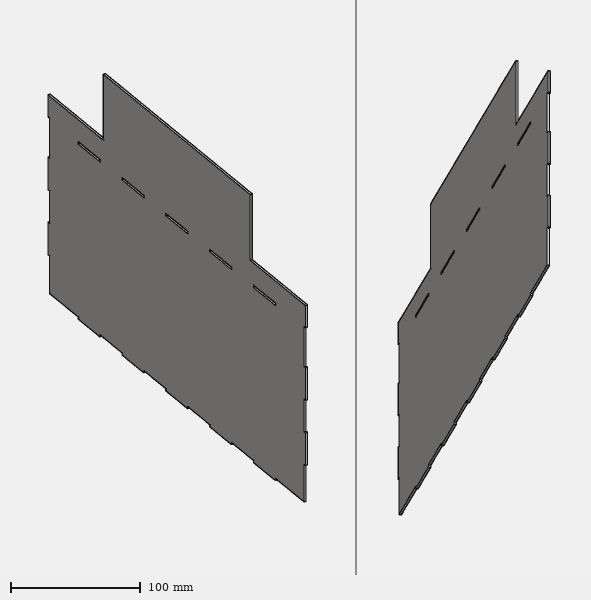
import cadquery as cq

overall_width = 354.0
overall_height = 245.5
thickness = 2.0
tab_depth = thickness
body_width = overall_width - 2 * tab_depth

crest_width = 201.8
shoulder_z = 184.8

tab_length = 30.0
tab_pitch = 2 * tab_length
tab_count = 5
slot_bottom_z = 162.0

lowest_tab_bottom = 36.8
side_tab_bottoms = (lowest_tab_bottom, lowest_tab_bottom + tab_pitch)
corner_tab_bottom = 164.3


def plate(x_center, z_bottom, width, height):
    """Upright plate of the panel thickness, resting at z_bottom."""
    return cq.Workplane("XY").box(width, thickness, height, centered=(True, True, False)).translate(
        (x_center, 0, z_bottom)
    )


result = plate(0, tab_depth, body_width, shoulder_z - tab_depth)
result = result.union(plate(0, tab_depth, crest_width, overall_height - tab_depth))

for tab_bottom in side_tab_bottoms:
    result = result.union(plate(0, tab_bottom, overall_width, tab_length))
result = result.union(plate(0, corner_tab_bottom, overall_width, shoulder_z - corner_tab_bottom))

for index in range(tab_count):
    tab_x = (index - (tab_count - 1) / 2) * tab_pitch
    result = result.union(plate(tab_x, 0, tab_length, 2 * tab_depth))
    result = result.cut(plate(tab_x, slot_bottom_z, tab_length, tab_depth))

result = result.clean()